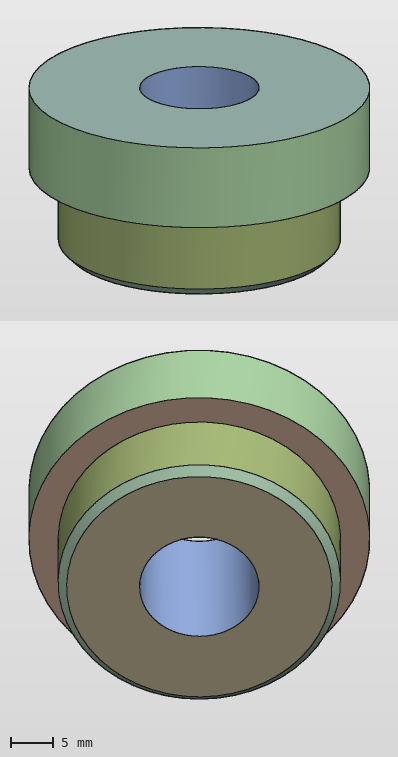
import cadquery as cq

head_diameter = 40.0
head_height = 10.0
spigot_diameter = 33.1
spigot_height = 10.0
bore_diameter = 14.0
chamfer_size = 1.0

spigot = (
    cq.Workplane("XY")
    .circle(spigot_diameter / 2)
    .extrude(spigot_height)
    .faces("<Z")
    .chamfer(chamfer_size)
)

head = (
    cq.Workplane("XY")
    .workplane(offset=spigot_height)
    .circle(head_diameter / 2)
    .extrude(head_height)
)

bore = (
    cq.Workplane("XY")
    .circle(bore_diameter / 2)
    .extrude(spigot_height + head_height)
)

result = spigot.union(head).cut(bore)